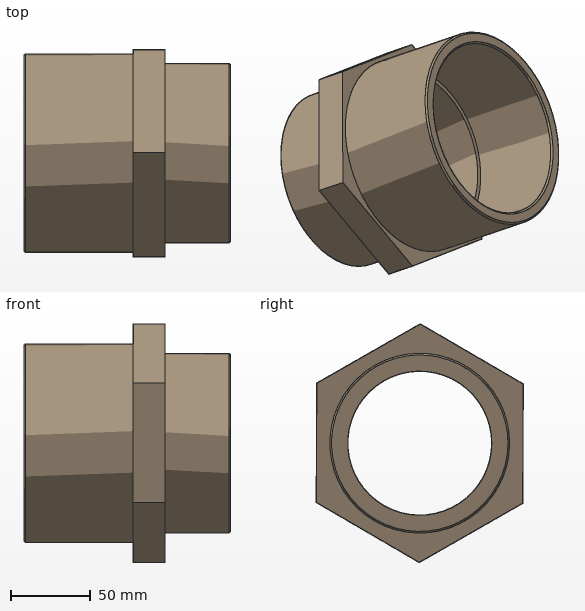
import cadquery as cq

total_length = 130.0
collar_start = 68.8
collar_width = 20.1
collar_end = collar_start + collar_width
collar_corner_diameter = 150.1
collar_twist = -0.23

socket_outer_diameter = 125.0
spigot_outer_diameter = 113.0
edge_chamfer = 1.0

socket_bore_diameter = 110.0
socket_depth = 60.5
middle_bore_diameter = 104.5
through_bore_diameter = 90.4


def cylinder(start, end, diameter):
    """Solid cylinder on the X axis between two X positions."""
    return cq.Workplane("YZ", origin=(start, 0, 0)).circle(diameter / 2).extrude(end - start)


def hex_collar():
    """Hexagonal collar with corners at the top and bottom, turned by the slight twist."""
    return (
        cq.Workplane("YZ", origin=(collar_start, 0, 0))
        .transformed(rotate=(0, 0, 90 + collar_twist))
        .polygon(6, collar_corner_diameter)
        .extrude(collar_width)
    )


socket_body = cylinder(0, collar_end, socket_outer_diameter).faces("<X").chamfer(edge_chamfer)
spigot_body = cylinder(collar_start, total_length, spigot_outer_diameter).faces(">X").chamfer(edge_chamfer)
body = socket_body.union(spigot_body).union(hex_collar())

body = body.cut(cylinder(0, socket_depth, socket_bore_diameter))
body = body.cut(cylinder(0, collar_end, middle_bore_diameter))
body = body.cut(cylinder(0, total_length, through_bore_diameter))

mouth_edge = cq.selectors.RadiusNthSelector(0)
result = body.faces("<X").edges(mouth_edge).chamfer(edge_chamfer)